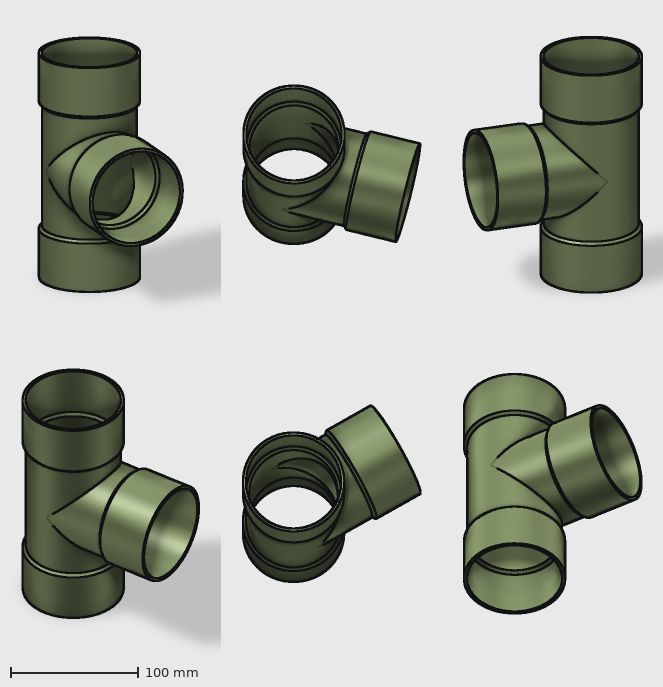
import cadquery as cq

run_length = 185.0
branch_reach = 92.5
socket_depth = 40.0
bore_diameter = 70.0
pipe_diameter = 75.0
socket_diameter = 80.0

run_half = run_length / 2
bore_radius = bore_diameter / 2
pipe_radius = pipe_diameter / 2
socket_radius = socket_diameter / 2


def socketed_arm(length, narrow_radius, wide_radius):
    """Solid rising from the origin that widens through a 45 degree taper into a socket."""
    socket_start = length - socket_depth
    taper_length = wide_radius - narrow_radius
    return (
        cq.Workplane("XZ")
        .lineTo(narrow_radius, 0)
        .lineTo(narrow_radius, socket_start - taper_length)
        .lineTo(wide_radius, socket_start)
        .lineTo(wide_radius, length)
        .lineTo(0, length)
        .close()
        .revolve(360, (0, 0), (0, 1))
    )


def tee(narrow_radius, wide_radius):
    """Straight run along Z with an equal branch toward +X."""
    upper = socketed_arm(run_half, narrow_radius, wide_radius)
    lower = upper.rotate((0, 0, 0), (0, 1, 0), 180)
    run = upper.union(lower)
    branch = socketed_arm(branch_reach, narrow_radius, wide_radius)
    branch = branch.rotate((0, 0, 0), (0, 1, 0), 90)
    return run.union(branch)


outer_body = tee(pipe_radius, socket_radius)
cavity = tee(bore_radius, pipe_radius)
result = outer_body.cut(cavity).clean()